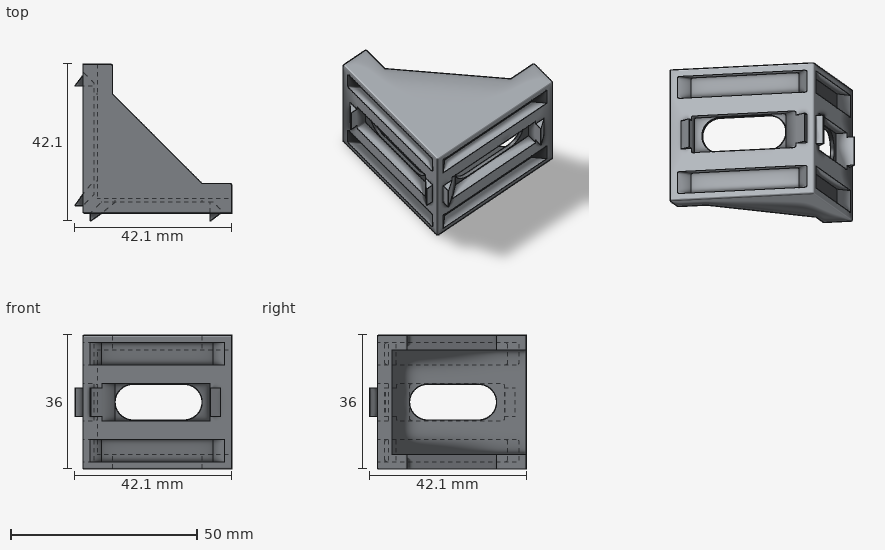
import cadquery as cq

leg = 40.0
height = 36.0
leg_end = 8.0
wall = 4.0
edge_radius = 0.5
end_radius = 0.5
mid_height = height / 2

pocket_margin = 2.0
pocket_height = 6.0
pocket_depth = 3.0
pocket_taper = 3.0
pocket_corner = 0.5

recess_start = 5.1
recess_end = 34.1
recess_height = 10.0
recess_depth = pocket_depth
recess_taper = 3.6
slot_start = recess_start + recess_taper
slot_end = 32.0
slot_width = 9.5

tab_reach = 2.1
tab_height = 7.7
tab_tip = 0.15
near_tab_start = 2.0
near_tab_length = recess_start - near_tab_start
far_tab_length = 2.9
tabs = ((near_tab_start, near_tab_length), (recess_end, far_tab_length))


def prism(points, z_middle, z_size):
    """Extrude a plan outline, centred on z_middle."""
    plane = cq.Workplane("XY").workplane(offset=z_middle - z_size / 2)
    return plane.polyline(points).close().extrude(z_size)


def swap_legs(shape):
    """Carry a shape from the Y = 0 face over to the X = 0 face."""
    return shape.mirror("YZ").rotate((0, 0, 0), (0, 0, 1), -90)


def make_body():
    """Solid corner block with a diagonal inner side and rounded outer edges."""
    outline = [(0, 0), (leg, 0), (leg, leg_end), (leg - leg_end, leg_end),
               (leg_end, leg - leg_end), (leg_end, leg), (0, leg)]
    body = prism(outline, mid_height, height)
    for corner in ((leg, leg_end, mid_height), (leg_end, leg, mid_height)):
        body = body.edges(cq.selectors.NearestToPointSelector(corner)).fillet(end_radius)
    return body.edges("(<X and <Y) or (|Y and <X) or (|X and <Y)").fillet(edge_radius)


def make_pocket(z_middle):
    """Pocket in the Y = 0 face with both ends sloping down to the floor."""
    start = pocket_margin
    end = leg - pocket_margin
    outline = [(start, 0), (end, 0), (end - pocket_taper, pocket_depth), (start + pocket_taper, pocket_depth)]
    return prism(outline, z_middle, pocket_height)


def make_recess():
    """Recess in the Y = 0 face, sloped on the side of the bracket corner only."""
    outline = [(recess_start, 0), (recess_end, 0), (recess_end, recess_depth), (slot_start, recess_depth)]
    return prism(outline, mid_height, recess_height)


def make_slot():
    """Slot through the wall at Y = 0, opening into the floor of the recess."""
    return (
        cq.Workplane("XZ", origin=((slot_start + slot_end) / 2, 0, mid_height))
        .slot2D(slot_end - slot_start, slot_width)
        .extrude(-wall)
    )


def round_corners(cutter):
    """Round the long corners that run into the depth of a cutter."""
    return cutter.edges("not(|Z or |X)").fillet(pocket_corner)


def make_tab(start, length):
    """Wedge on the Y = 0 face: square on the corner side, sloping back to the face."""
    outline = [(start, 0), (start, tab_tip - tab_reach), (start + tab_tip, -tab_reach), (start + length, 0)]
    return prism(outline, mid_height, tab_height)


def make_cavity():
    """Open space between the two cheeks."""
    return cq.Workplane("XY").box(leg, leg, height - 2 * wall, centered=False).translate((wall, wall, wall))


result = make_body().cut(make_cavity())

pocket_offset = pocket_margin + pocket_height / 2
y_face_cutters = [make_pocket(pocket_offset), make_pocket(height - pocket_offset), make_recess()]
for cutter in y_face_cutters:
    result = result.cut(cutter).cut(swap_legs(round_corners(cutter)))

slot = make_slot()
result = result.cut(slot).cut(swap_legs(slot))

for start, length in tabs:
    tab = make_tab(start, length)
    result = result.union(tab).union(swap_legs(tab))